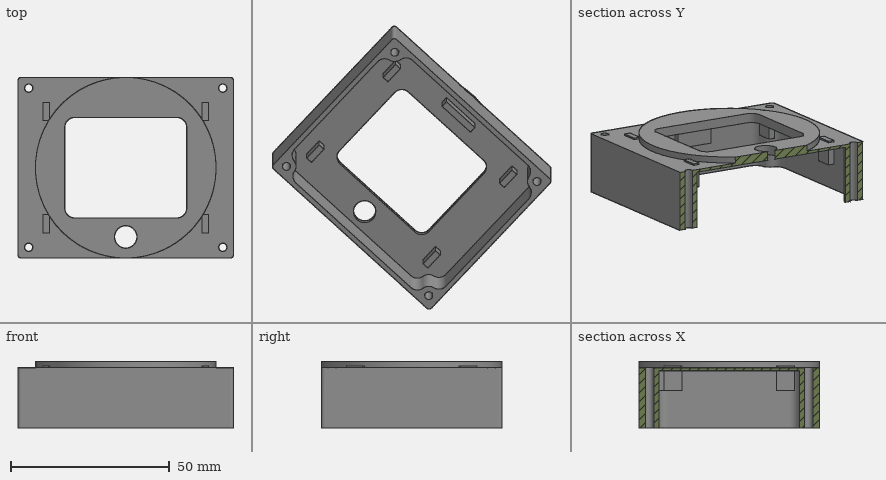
import cadquery as cq

length = 68.0
width = 57.0
block_height = 19.05
corner_radius = 1.0

face_diameter = width
face_height = 2.0
total_height = block_height + face_height

window_length = 38.35
window_width = 31.6
window_radius = 3.05

screw_hole_diameter = 2.5
screw_inset_x = 3.4
screw_inset_y = 3.4
button_hole_diameter = 7.0
button_y = -21.8

wall = 1.5
plate_thickness = 3.0
cavity_height = total_height - plate_thickness
post_radius = 3.0
post_blend_radius = 3.0

rib_depth = 6.25
rib_thickness = 2.05
rib_offset = 4.8
center_rib_length = 12.25
corner_rib_length = 5.8
corner_rib_start_y = 14.8


def rounded_box(size_x, size_y, height, radius):
    """Box standing on Z = 0 with rounded vertical edges."""
    return cq.Workplane("XY").rect(size_x, size_y).extrude(height).edges("|Z").fillet(radius)


block = rounded_box(length, width, block_height, corner_radius)
face = cq.Workplane("XY").workplane(offset=block_height).circle(face_diameter / 2).extrude(face_height)
window = rounded_box(window_length, window_width, total_height, window_radius)



def at_screws(radius, height):
    """Four upright cylinders at the screw positions."""
    return (
        cq.Workplane("XY")
        .rect(length - 2 * screw_inset_x, width - 2 * screw_inset_y, forConstruction=True)
        .vertices()
        .circle(radius)
        .extrude(height)
    )


def make_cavity():
    """Inner space whose walls blend smoothly into the corner posts."""
    space = cq.Workplane("XY").rect(length - 2 * wall, width - 2 * wall).extrude(cavity_height)
    space = space.cut(at_screws(post_radius, cavity_height))
    return space.edges("|Z").fillet(post_blend_radius)


def rib(center_x, center_y, size_x, size_y):
    """Rectangular rib from its free lower end up into the plate."""
    return (
        cq.Workplane("XY")
        .workplane(offset=cavity_height - rib_depth)
        .center(center_x, center_y)
        .rect(size_x, size_y)
        .extrude(rib_depth + plate_thickness / 2)
    )


screw_holes = at_screws(screw_hole_diameter / 2, total_height)
button_hole = cq.Workplane("XY").center(0, button_y).circle(button_hole_diameter / 2).extrude(total_height)

body = block.union(face).cut(make_cavity())

center_rib_y = window_width / 2 + rib_offset + rib_thickness / 2
body = body.union(rib(0, center_rib_y, center_rib_length, rib_thickness))

corner_rib_x = window_length / 2 + rib_offset + rib_thickness / 2
corner_rib_y = corner_rib_start_y + corner_rib_length / 2
for side_x in (-1, 1):
    for side_y in (-1, 1):
        body = body.union(
            rib(side_x * corner_rib_x, side_y * corner_rib_y, rib_thickness, corner_rib_length)
        )

result = body.cut(window).cut(screw_holes).cut(button_hole)